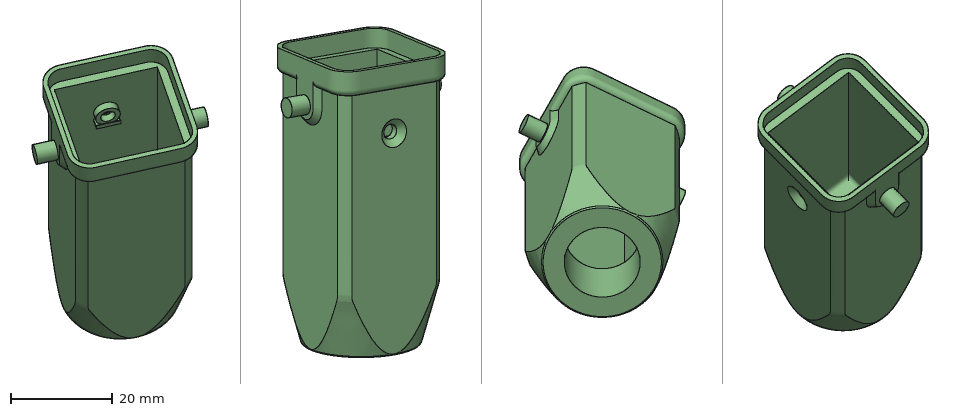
import cadquery as cq
import math

height = 60.0
body_width = 24.0
body_half = body_width / 2
flat_half_width = 9.95
blank_radius = math.hypot(body_half, flat_half_width)
cone_bottom_z = 0.3
cone_top_z = 13.0
base_radius = 11.7
shoulder_radius = 4.8

rim_width = 26.5
rim_height = 5.2
rim_corner_radius = 4.5
rim_overhang = (rim_width - body_width) / 2
rim_wall = 1.0
rim_pocket_depth = 4.0

cavity_width = 21.1
cavity_half = cavity_width / 2
cavity_floor_z = 15.0
cavity_floor_radius = 0.95
hole_diameter = 15.0
hole_lip_radius = 0.9

pin_diameter = 4.0
pin_span = 35.1
pin_z = 50.65
lug_radius = 3.0

screw_z = 45.6
screw_hole_diameter = 3.0
countersink_diameter = 5.8
boss_diameter = 5.05
boss_length = 1.55
boss_end_x = boss_length - cavity_half
lip_reach = 0.55


def make_body():
    """Square prism whose corners and conical lower end come from a turned blank."""
    blank = (
        cq.Workplane("XZ")
        .polyline([
            (0, 0),
            (base_radius, 0),
            (body_half, cone_bottom_z),
            (blank_radius, cone_top_z),
            (blank_radius, height - rim_pocket_depth),
            (0, height - rim_pocket_depth),
        ])
        .close()
        .revolve(360, (0, 0, 0), (0, 1, 0))
    )
    shoulder_edge = cq.selectors.NearestToPointSelector((blank_radius, 0, cone_top_z))
    blank = blank.edges("%CIRCLE").edges(shoulder_edge).fillet(shoulder_radius)
    prism = cq.Workplane("XY").rect(body_width, body_width).extrude(height)
    return blank.intersect(prism)


def make_rim():
    """Wider rounded-square collar with a rounded lower edge."""
    return (
        cq.Workplane("XY", origin=(0, 0, height - rim_height))
        .rect(rim_width, rim_width)
        .extrude(rim_height)
        .edges("|Z")
        .fillet(rim_corner_radius)
        .faces("<Z")
        .edges()
        .fillet(rim_overhang)
    )


def make_lug_and_pin():
    """Round-ended lug hanging from the rim, with its locking pin, on the -Y side."""
    lug_outer_radius = lug_radius + rim_overhang
    lug_top_z = height - rim_height + rim_overhang
    lug_depth = rim_width / 2 - cavity_half
    lug = (
        cq.Workplane("XZ", origin=(0, -cavity_half, pin_z))
        .moveTo(-lug_outer_radius, lug_top_z - pin_z)
        .lineTo(-lug_outer_radius, 0)
        .threePointArc((0, -lug_outer_radius), (lug_outer_radius, 0))
        .lineTo(lug_outer_radius, lug_top_z - pin_z)
        .close()
        .extrude(lug_depth)
        .faces("<Y")
        .edges("not >Z")
        .chamfer(rim_overhang)
    )
    pin = (
        cq.Workplane("XZ", origin=(0, -cavity_half, pin_z))
        .circle(pin_diameter / 2)
        .extrude(pin_span / 2 - cavity_half)
    )
    return lug.union(pin)


def make_rim_pocket():
    """Shallow rounded-square pocket inside the rim."""
    pocket_width = rim_width - 2 * rim_wall
    return (
        cq.Workplane("XY", origin=(0, 0, height - rim_pocket_depth))
        .rect(pocket_width, pocket_width)
        .extrude(rim_pocket_depth)
        .edges("|Z")
        .fillet(rim_corner_radius - rim_wall)
    )


def make_cavity():
    """Sharp-cornered square cavity, rounded where the walls meet the floor."""
    return (
        cq.Workplane("XY", origin=(0, 0, cavity_floor_z))
        .rect(cavity_width, cavity_width)
        .extrude(height - cavity_floor_z)
        .faces("<Z")
        .edges()
        .fillet(cavity_floor_radius)
    )


def make_cable_hole():
    """Round hole through the floor, flaring out along a rounded upper lip."""
    hole_radius = hole_diameter / 2
    lip_start_z = cavity_floor_z - hole_lip_radius
    lip_middle_offset = hole_lip_radius * (1 - math.sqrt(0.5))
    return (
        cq.Workplane("XZ")
        .lineTo(hole_radius, 0)
        .lineTo(hole_radius, lip_start_z)
        .threePointArc(
            (hole_radius + lip_middle_offset, cavity_floor_z - lip_middle_offset),
            (hole_radius + hole_lip_radius, cavity_floor_z),
        )
        .lineTo(0, cavity_floor_z)
        .close()
        .revolve(360, (0, 0, 0), (0, 1, 0))
    )


def make_screw_boss():
    """Round boss on the left wall, squared off below and ending in a lip that slopes up."""
    wall_x = -cavity_half
    lip_end_x = boss_end_x + lip_reach
    boss_radius = boss_diameter / 2
    lip_top_z = -screw_hole_diameter / 2
    boss = (
        cq.Workplane("YZ", origin=(wall_x, 0, screw_z))
        .circle(boss_radius)
        .extrude(boss_length)
    )
    lip = (
        cq.Workplane("XZ", origin=(0, 0, screw_z))
        .polyline([
            (wall_x, lip_top_z - lip_reach),
            (boss_end_x, lip_top_z - lip_reach),
            (lip_end_x, lip_top_z),
            (lip_end_x, -boss_radius),
            (wall_x, -boss_radius),
        ])
        .close()
        .extrude(boss_radius, both=True)
    )
    return boss.union(lip)


def make_screw_hole():
    """Countersunk hole entering from the left face and running through the boss."""
    hole_radius = screw_hole_diameter / 2
    sink_radius = countersink_diameter / 2
    sink_end_x = -body_half + sink_radius - hole_radius
    return (
        cq.Workplane("XZ", origin=(0, 0, screw_z))
        .polyline([
            (-body_half, 0),
            (-body_half, sink_radius),
            (sink_end_x, hole_radius),
            (boss_end_x, hole_radius),
            (boss_end_x, 0),
        ])
        .close()
        .revolve(360, (0, 0, 0), (1, 0, 0))
    )


lug = make_lug_and_pin()
result = (
    make_body()
    .union(make_rim())
    .union(lug)
    .union(lug.mirror("XZ"))
    .cut(make_rim_pocket())
    .cut(make_cavity())
    .cut(make_cable_hole())
    .union(make_screw_boss())
    .cut(make_screw_hole())
)